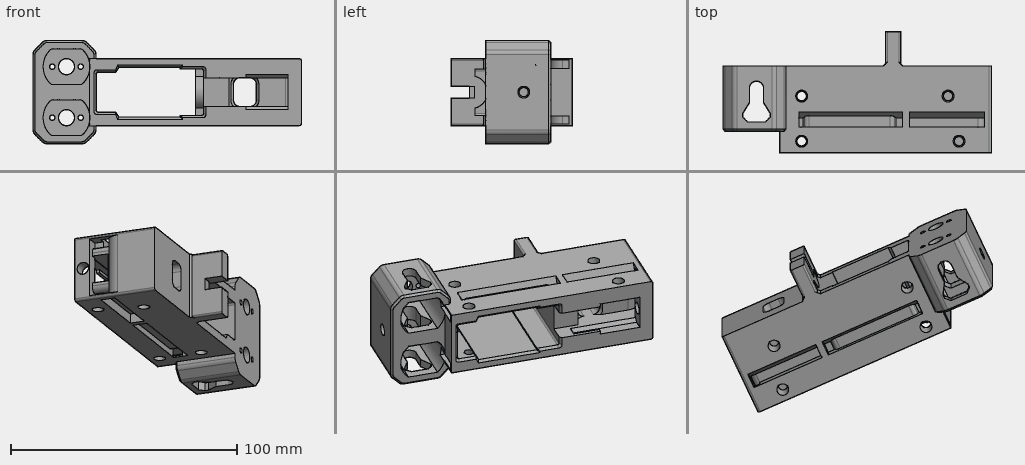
import cadquery as cq
import math

LENGTH = 118.8
BODY_LEFT = 25.0
BODY_HALF_Z = 14.8
BODY_DEPTH = 38.4
END_ROUND = 1.1

HEAD_WIDTH = 27.9
HEAD_HEIGHT = 45.7
HEAD_HALF_Z = HEAD_HEIGHT / 2
HEAD_FRONT = 9.5
HEAD_BEVEL = 5.0
HEAD_BEVEL_ROUND = 3.0
HEAD_CHAMFER = 1.0

MOTOR_X = 14.8
MOTOR_Z = 11.3
POCKET_RADIUS = 10.3
POCKET_HALF_Z = 7.8
POCKET_FLOOR = 34.8
SHAFT_HOLE = 7.0
MOTOR_SCREW = 2.3
MOTOR_SCREW_OFFSET = 6.3

KEY_NECK_RADIUS = 3.1
KEY_NECK_Y = 28.5
KEY_NECK_END = 22.2
KEY_HALF_WIDTH = 6.0
KEY_SHOULDER_Y = 17.3
KEY_CORNER_Y = 15.8
KEY_FOOT_Y = 13.7
KEY_FOOT_HALF = 3.9

WINDOW_LEFT = 28.0
WINDOW_RIGHT = 75.4
WINDOW_END_HALF_Z = 8.8
WINDOW_MID_HALF_Z = 10.9
WINDOW_RIGHT_HALF_Z = 10.2
WINDOW_MID_START = 36.6
WINDOW_RAMP = 1.4
WINDOW_MID_END = 65.1
WINDOW_CHAMFER = 1.1
WINDOW_ROUND = 0.8

POST_LEFT = 71.8
POST_RIGHT = 78.6
POST_END = 53.5
POST_ROUND = 0.8
POST_FOOT = 1.0
POST_NOTCH_HALF_Z = 2.6
POST_NOTCH_FLOOR = 45.5
POST_NOTCH_STEP = 2.1
POST_RECESS_END = 43.0
SADDLE_RADIUS = 7.2
SADDLE_Y = 44.8

TROUGH_HALF_Z = 6.3
TROUGH_STEP_X = 86.7
TROUGH_STEP_Y = 8.4
TROUGH_FLOOR = 13.5
TROUGH_END_X = 112.7
END_WALL_DEPTH = 7.1
WIDE_HALF_Z = 7.7
WIDE_LEFT = 94.3
WIDE_UNDERCUT_LEFT = 82.5
LIP = 1.5
WIDE_FLAT = 4.6
WIDE_TAPER_END = 6.4
MOUTH_RADIUS = 7.1
BACK_HOLE_X = 93.7
BACK_HOLE_WIDTH = 10.0
BACK_HOLE_ROUND = 2.7
BACK_HOLE_CHAMFER = 1.2

CHANNEL_LOW = 10.6
SLOT_FRONT = 11.3
SLOT_BACK = 17.9
SLOT_LEAN = 2.5
SLOT_FLOOR_Y = SLOT_BACK - SLOT_LEAN
LEFT_SLOT = (33.6, 79.5)
RIGHT_SLOT = (82.5, 115.5)
OUTLET_START = 112.8
OUTLET_ROUND = 2.8
OUTLET_ROOF = 13.3
HUMP = (35.4, 76.5)
HUMP_HEIGHT = 1.5
HUMP_RUN = 2.7
HUMP_FOOT = 0.6
CHANNEL_HIGH = 14.1
CHANNEL_FRONT = 1.4
CHANNEL_MOUTH_DEPTH = 3.6
CHANNEL_START_X = 24.2
CHANNEL_FLAT_END = 4.4
CHANNEL_NECK_FRONT = 10.2

SCREW_OUTER = 5.2
SCREW_INNER = 4.0
SCREW_DEPTH = 6.5
SCREW_SPOTS = [(34.8, 5.1), (34.8, 25.0), (99.5, 25.0), (104.4, 5.1)]
HEAD_SCREW_Y = 21.5
END_SCREW_Y = 3.9
END_SCREW_HOLE = 5.5


def band(x0, x1, y0, y1, half_z):
    """Box centred on Z = 0."""
    block = cq.Workplane("XY").box(x1 - x0, y1 - y0, 2 * half_z, centered=(False, False, True))
    return block.translate((x0, y0, 0))


def front_plane(y):
    """Sketch plane at depth y with local x along X and local y along Z; its normal is -Y."""
    return cq.Workplane("XZ", origin=(0, y, 0))


def both_sides(solid):
    return solid.union(solid.mirror("XY"))


def tapered_hole(base, direction):
    return cq.Workplane(cq.Solid.makeCone(
        SCREW_OUTER / 2, SCREW_INNER / 2, SCREW_DEPTH, cq.Vector(*base), cq.Vector(*direction)))


def head():
    block = band(0, HEAD_WIDTH, HEAD_FRONT, BODY_DEPTH, HEAD_HALF_Z)
    block = block.edges("|Y").chamfer(HEAD_BEVEL)
    block = block.edges("|Y").fillet(HEAD_BEVEL_ROUND)
    return block.faces("<Y").chamfer(HEAD_CHAMFER)


def motor_pockets():
    cutter = None
    for z in (-MOTOR_Z, MOTOR_Z):
        flats = band(0, HEAD_WIDTH, 0, BODY_DEPTH, POCKET_HALF_Z).translate((0, 0, z))
        pocket = front_plane(HEAD_FRONT).center(MOTOR_X, z).circle(POCKET_RADIUS)
        pocket = pocket.extrude(HEAD_FRONT - POCKET_FLOOR).intersect(flats)
        shaft_hole = front_plane(HEAD_FRONT).center(MOTOR_X, z).circle(SHAFT_HOLE / 2).extrude(-BODY_DEPTH)
        screws = front_plane(HEAD_FRONT).center(MOTOR_X, z)
        screws = screws.pushPoints([(-MOTOR_SCREW_OFFSET, 0), (MOTOR_SCREW_OFFSET, 0)])
        screws = screws.circle(MOTOR_SCREW / 2).extrude(-BODY_DEPTH)
        pocket = pocket.union(shaft_hole).union(screws)
        cutter = pocket if cutter is None else cutter.union(pocket)
    return cutter


def keyhole():
    outline = (
        cq.Workplane("XY", origin=(MOTOR_X, 0, -HEAD_HALF_Z))
        .moveTo(KEY_NECK_RADIUS, KEY_NECK_Y)
        .threePointArc((0, KEY_NECK_Y + KEY_NECK_RADIUS), (-KEY_NECK_RADIUS, KEY_NECK_Y))
        .lineTo(-KEY_NECK_RADIUS, KEY_NECK_END)
        .lineTo(-KEY_HALF_WIDTH, KEY_SHOULDER_Y)
        .lineTo(-KEY_HALF_WIDTH, KEY_CORNER_Y)
        .lineTo(-KEY_FOOT_HALF, KEY_FOOT_Y)
        .lineTo(KEY_FOOT_HALF, KEY_FOOT_Y)
        .lineTo(KEY_HALF_WIDTH, KEY_CORNER_Y)
        .lineTo(KEY_HALF_WIDTH, KEY_SHOULDER_Y)
        .lineTo(KEY_NECK_RADIUS, KEY_NECK_END)
        .close()
    )
    return outline.extrude(2 * HEAD_HALF_Z)


def post():
    shaft = band(POST_LEFT, POST_RIGHT, BODY_DEPTH, POST_END, BODY_HALF_Z)
    shaft = shaft.edges("|Y").fillet(POST_ROUND)
    foot = (
        cq.Workplane("XY", origin=(0, 0, -BODY_HALF_Z))
        .moveTo(POST_LEFT - POST_FOOT, BODY_DEPTH)
        .lineTo(POST_RIGHT + POST_FOOT, BODY_DEPTH)
        .lineTo(POST_RIGHT - POST_ROUND, BODY_DEPTH + POST_FOOT + POST_ROUND)
        .lineTo(POST_LEFT + POST_ROUND, BODY_DEPTH + POST_FOOT + POST_ROUND)
        .close()
        .extrude(2 * BODY_HALF_Z)
        .intersect(band(POST_LEFT - POST_FOOT, POST_RIGHT + POST_FOOT, 0, POST_END, BODY_HALF_Z))
    )
    notch = band(POST_LEFT, POST_RIGHT, POST_NOTCH_FLOOR, POST_END, POST_NOTCH_HALF_Z)
    step = band(POST_LEFT, POST_LEFT + POST_NOTCH_STEP, POST_NOTCH_FLOOR - POST_NOTCH_STEP, POST_END,
                POST_NOTCH_HALF_Z)
    return shaft.union(foot).cut(notch).cut(step)


def window_outline(grow, y):
    """Closed wire of the stepped window, enlarged all round by grow, at depth y."""
    upper = [
        (WINDOW_LEFT - grow, WINDOW_END_HALF_Z + grow),
        (WINDOW_MID_START, WINDOW_END_HALF_Z + grow),
        (WINDOW_MID_START + WINDOW_RAMP - grow / 2, WINDOW_MID_HALF_Z + grow),
        (WINDOW_MID_END + grow, WINDOW_MID_HALF_Z + grow),
        (WINDOW_MID_END + grow, WINDOW_RIGHT_HALF_Z + grow),
        (WINDOW_RIGHT + grow, WINDOW_RIGHT_HALF_Z + grow),
    ]
    lower = [(x, -z) for x, z in reversed(upper)]
    wire = front_plane(y).polyline(upper + lower).close().val()
    ends = (WINDOW_LEFT - grow, WINDOW_RIGHT + grow)
    corners = [v for v in wire.Vertices() if min(abs(v.X - end) for end in ends) < WINDOW_ROUND / 2]
    return wire.fillet2D(WINDOW_ROUND + grow / 2, corners)


def main_window():
    through = cq.Workplane(cq.Solid.extrudeLinear(window_outline(0, 0), [], cq.Vector(0, BODY_DEPTH, 0)))
    chamfer = cq.Workplane(cq.Solid.makeLoft([
        window_outline(WINDOW_CHAMFER, 0),
        window_outline(0, WINDOW_CHAMFER),
    ], True))
    into_post = band(POST_LEFT - POST_FOOT, WINDOW_RIGHT, 0, POST_RECESS_END, WINDOW_RIGHT_HALF_Z)
    into_post = into_post.edges("|Y and >X").fillet(WINDOW_ROUND)
    saddle = cq.Workplane("YZ", origin=(POST_LEFT, SADDLE_Y, 0)).circle(SADDLE_RADIUS)
    saddle = saddle.extrude(POST_RIGHT - POST_LEFT)
    return through.union(chamfer).union(into_post.cut(saddle)).cut(saddle)


def mouth(half_z):
    """Opening in the right face: its back wall flares toward +Y as it nears the face."""
    flare_start = LENGTH - MOUTH_RADIUS
    outline = (
        cq.Workplane("XY", origin=(0, 0, -half_z))
        .moveTo(flare_start, END_WALL_DEPTH)
        .lineTo(LENGTH, END_WALL_DEPTH)
        .lineTo(LENGTH, TROUGH_FLOOR + MOUTH_RADIUS)
        .radiusArc((flare_start, TROUGH_FLOOR), MOUTH_RADIUS)
        .close()
    )
    return outline.extrude(2 * half_z)


def trough():
    shallow = band(WINDOW_RIGHT, TROUGH_END_X, 0, TROUGH_STEP_Y, TROUGH_HALF_Z)
    deep = band(TROUGH_STEP_X, TROUGH_END_X, 0, TROUGH_FLOOR, TROUGH_HALF_Z)
    outlet = mouth(TROUGH_HALF_Z)
    wide_profile = (
        cq.Workplane("YZ", origin=(WIDE_UNDERCUT_LEFT, 0, 0))
        .polyline([
            (0, -WIDE_HALF_Z), (WIDE_FLAT, -WIDE_HALF_Z), (WIDE_TAPER_END, -TROUGH_HALF_Z),
            (WIDE_TAPER_END, TROUGH_HALF_Z), (WIDE_FLAT, WIDE_HALF_Z), (0, WIDE_HALF_Z),
        ])
        .close()
    )
    wide = wide_profile.extrude(TROUGH_END_X - WIDE_UNDERCUT_LEFT)
    wide = wide.cut(band(WIDE_UNDERCUT_LEFT, WIDE_LEFT, 0, LIP, BODY_HALF_Z))
    return shallow.union(deep).union(outlet).union(wide)


def back_hole():
    height = 2 * TROUGH_HALF_Z
    hole = band(BACK_HOLE_X - BACK_HOLE_WIDTH / 2, BACK_HOLE_X + BACK_HOLE_WIDTH / 2,
                TROUGH_FLOOR, BODY_DEPTH, TROUGH_HALF_Z)
    hole = hole.edges("|Y").fillet(BACK_HOLE_ROUND)
    grow = 2 * BACK_HOLE_CHAMFER
    rim = cq.Sketch().rect(BACK_HOLE_WIDTH + grow, height + grow)
    rim = rim.vertices().fillet(BACK_HOLE_ROUND + BACK_HOLE_CHAMFER)
    flare = front_plane(TROUGH_FLOOR).center(BACK_HOLE_X, 0).placeSketch(rim)
    flare = flare.extrude(-BACK_HOLE_CHAMFER, taper=45)
    return hole.union(flare.intersect(band(0, LENGTH, 0, BODY_DEPTH, TROUGH_HALF_Z)))


def slot(x_range):
    profile = cq.Workplane("YZ", origin=(x_range[0], 0, 0)).polyline([
        (SLOT_FRONT, BODY_HALF_Z), (SLOT_FRONT, CHANNEL_LOW),
        (SLOT_FLOOR_Y, CHANNEL_LOW), (SLOT_BACK, BODY_HALF_Z),
    ])
    return profile.close().extrude(x_range[1] - x_range[0])


def slot_hump():
    floor = CHANNEL_LOW
    top = floor + HUMP_HEIGHT
    bend = 1 - math.sqrt(0.5)
    run = HUMP_RUN - HUMP_FOOT
    rise = HUMP_HEIGHT - HUMP_FOOT
    left, right = HUMP
    hump = (
        cq.Workplane("XZ", origin=(0, SLOT_BACK, 0))
        .moveTo(left, floor)
        .lineTo(left + HUMP_FOOT, floor + HUMP_FOOT)
        .threePointArc((left + HUMP_FOOT + run * bend, top - rise * bend), (left + HUMP_RUN, top))
        .lineTo(right - HUMP_RUN, top)
        .threePointArc((right - HUMP_FOOT - run * bend, top - rise * bend),
                       (right - HUMP_FOOT, floor + HUMP_FOOT))
        .lineTo(right, floor)
        .close()
    )
    return hump.extrude(SLOT_BACK - SLOT_FRONT)


def slot_outlet():
    """Opens the right-hand slot into the mouth over the rounded end of the wall between them."""
    floor = CHANNEL_LOW
    wall_end = OUTLET_START + OUTLET_ROUND
    profile = (
        cq.Workplane("XZ", origin=(0, END_WALL_DEPTH, 0))
        .moveTo(OUTLET_START, floor)
        .radiusArc((wall_end, floor - OUTLET_ROUND), OUTLET_ROUND)
        .lineTo(wall_end, 0)
        .lineTo(LENGTH, 0)
        .lineTo(LENGTH, OUTLET_ROOF)
        .lineTo(OUTLET_START, OUTLET_ROOF)
        .close()
    )
    under_slot = band(OUTLET_START, LENGTH, END_WALL_DEPTH, SLOT_FLOOR_Y, BODY_HALF_Z)
    return profile.extrude(-BODY_DEPTH).intersect(under_slot.union(mouth(BODY_HALF_Z)))


def wire_channel():
    """Channel from the motor pocket round the body's left wall to the left-hand slot."""
    mouth_x = BODY_LEFT + CHANNEL_MOUTH_DEPTH
    bend = CHANNEL_NECK_FRONT - CHANNEL_FLAT_END
    return (
        cq.Workplane("XY", origin=(0, 0, CHANNEL_LOW))
        .moveTo(CHANNEL_START_X, CHANNEL_FRONT)
        .lineTo(mouth_x, CHANNEL_FRONT)
        .lineTo(mouth_x, CHANNEL_FLAT_END)
        .radiusArc((mouth_x + bend, CHANNEL_NECK_FRONT), bend)
        .lineTo(mouth_x + bend, SLOT_FLOOR_Y)
        .lineTo(CHANNEL_START_X, SLOT_FLOOR_Y)
        .close()
        .extrude(CHANNEL_HIGH - CHANNEL_LOW)
    )


body = band(BODY_LEFT, LENGTH, 0, BODY_DEPTH, BODY_HALF_Z)
body = body.edges("|Y and >X").fillet(END_ROUND)
part = body.union(head()).union(post())

part = part.cut(motor_pockets()).cut(keyhole())
part = part.cut(main_window()).cut(trough()).cut(back_hole())

part = part.cut(both_sides(slot(LEFT_SLOT).cut(slot_hump())))
part = part.cut(both_sides(slot(RIGHT_SLOT).union(slot_outlet())))
part = part.cut(both_sides(wire_channel()))

for x, y in SCREW_SPOTS:
    part = part.cut(both_sides(tapered_hole((x, y, BODY_HALF_Z), (0, 0, -1))))
part = part.cut(tapered_hole((0, HEAD_SCREW_Y, 0), (1, 0, 0)))
end_screw = cq.Workplane("YZ", origin=(TROUGH_END_X, END_SCREW_Y, 0)).circle(END_SCREW_HOLE / 2)
part = part.cut(end_screw.extrude(LENGTH - TROUGH_END_X))

result = part